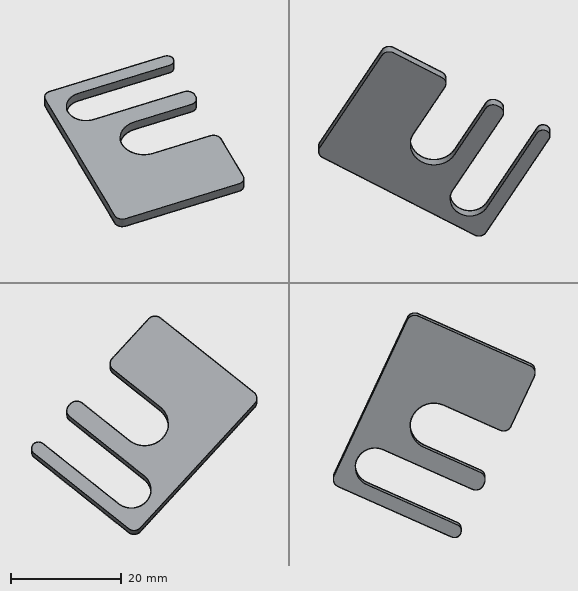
import cadquery as cq

length = 35.05
width = 25.4
thickness = 2.0
corner_radius = 1.5

outer_finger_width = 2.52
narrow_slot_width = 7.15
middle_finger_width = 3.5
wide_slot_width = 8.62

narrow_slot_floor = 2.52
wide_slot_floor = 8.35

narrow_slot_left = outer_finger_width
middle_finger_left = narrow_slot_left + narrow_slot_width
middle_finger_right = middle_finger_left + middle_finger_width
block_left = middle_finger_right + wide_slot_width

outer_tip_radius = outer_finger_width / 2
outer_tip_y = width - outer_tip_radius

back_corner_y = width - corner_radius
right_corner_x = length - corner_radius


def add_slot_end(outline, left, slot_width, floor):
    """Run down the left wall of a slot, around its half-circle end and up the right wall."""
    radius = slot_width / 2
    right = left + slot_width
    center_y = floor + radius
    return (
        outline.lineTo(left, center_y)
        .threePointArc((left + radius, floor), (right, center_y))
        .lineTo(right, back_corner_y)
    )


outline = (
    cq.Workplane("XY")
    .moveTo(0, corner_radius)
    .lineTo(0, outer_tip_y)
    .threePointArc((outer_tip_radius, width), (outer_finger_width, outer_tip_y))
)
outline = add_slot_end(outline, narrow_slot_left, narrow_slot_width, narrow_slot_floor)

outline = (
    outline.radiusArc((middle_finger_left + corner_radius, width), corner_radius)
    .lineTo(middle_finger_right - corner_radius, width)
    .radiusArc((middle_finger_right, back_corner_y), corner_radius)
)
outline = add_slot_end(outline, middle_finger_right, wide_slot_width, wide_slot_floor)

outline = (
    outline.radiusArc((block_left + corner_radius, width), corner_radius)
    .lineTo(right_corner_x, width)
    .radiusArc((length, back_corner_y), corner_radius)
    .lineTo(length, corner_radius)
    .radiusArc((right_corner_x, 0), corner_radius)
    .lineTo(corner_radius, 0)
    .radiusArc((0, corner_radius), corner_radius)
    .close()
)

result = outline.extrude(thickness)